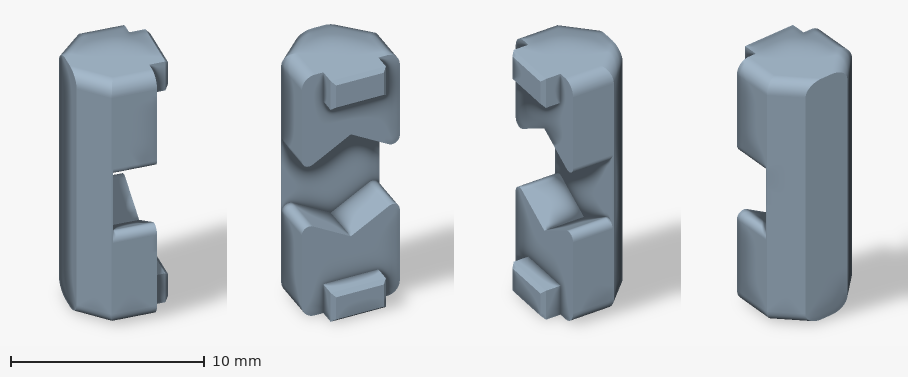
import cadquery as cq
import math

WIDTH = 5.6
DEPTH = 5.0
LENGTH = 15.0
BODY_DEPTH = 3.9
BEVEL = 1.42
END_ROUND = 0.75

TAB_WIDTH = 3.15
TAB_LENGTH = 1.8
TAB_CHAMFER = 0.21

NUT_FLATS = 5.5
POCKET_FLOOR = 1.5
POCKET_ROUND = 0.42

HALF_WIDTH = WIDTH / 2
HALF_LENGTH = LENGTH / 2
FRONT_Y = -DEPTH / 2
BACK_Y = FRONT_Y + BODY_DEPTH
FLOOR_Y = FRONT_Y + POCKET_FLOOR


def make_body():
    """Bevelled bar whose side and bevel edges are rounded at both ends."""
    profile = [
        (-HALF_WIDTH, BACK_Y),
        (-HALF_WIDTH, FRONT_Y + BEVEL),
        (-HALF_WIDTH + BEVEL, FRONT_Y),
        (HALF_WIDTH - BEVEL, FRONT_Y),
        (HALF_WIDTH, FRONT_Y + BEVEL),
        (HALF_WIDTH, BACK_Y),
    ]
    body = cq.Workplane("XY").polyline(profile).close().extrude(LENGTH)
    body = body.translate((0, 0, -HALF_LENGTH))
    return body.faces("<Z or >Z").edges("not(|X)").fillet(END_ROUND)


def cut_nut_pocket(body):
    """Cut the nut pocket, peaked toward +Z and -Z, and round its side lips."""
    wall_slope = math.tan(math.radians(30))
    peak = NUT_FLATS / 2 / math.cos(math.radians(30))
    lip = peak - HALF_WIDTH * wall_slope
    outline = [
        (-HALF_WIDTH, -lip),
        (0, -peak),
        (HALF_WIDTH, -lip),
        (HALF_WIDTH, lip),
        (0, peak),
        (-HALF_WIDTH, lip),
    ]
    pocket = (
        cq.Workplane("XZ", origin=(0, BACK_Y, 0))
        .polyline(outline)
        .close()
        .extrude(BACK_Y - FLOOR_Y)
    )
    lip_edges = cq.selectors.BoxSelector(
        (-WIDTH, FLOOR_Y, -peak),
        (WIDTH, BACK_Y, peak),
    )
    body = body.cut(pocket)
    return body.faces("<X or >X").edges("|Y").edges(lip_edges).fillet(POCKET_ROUND)


def make_tab(end):
    """Tab at one end (+1 top, -1 bottom), chamfered around its back face."""
    tab = (
        cq.Workplane("XY")
        .box(TAB_WIDTH, DEPTH - BODY_DEPTH, TAB_LENGTH)
        .faces(">Y")
        .chamfer(TAB_CHAMFER)
    )
    middle_y = BACK_Y + (DEPTH - BODY_DEPTH) / 2
    return tab.translate((0, middle_y, end * (HALF_LENGTH - TAB_LENGTH / 2)))


result = cut_nut_pocket(make_body())
for end in (-1, 1):
    result = result.union(make_tab(end))